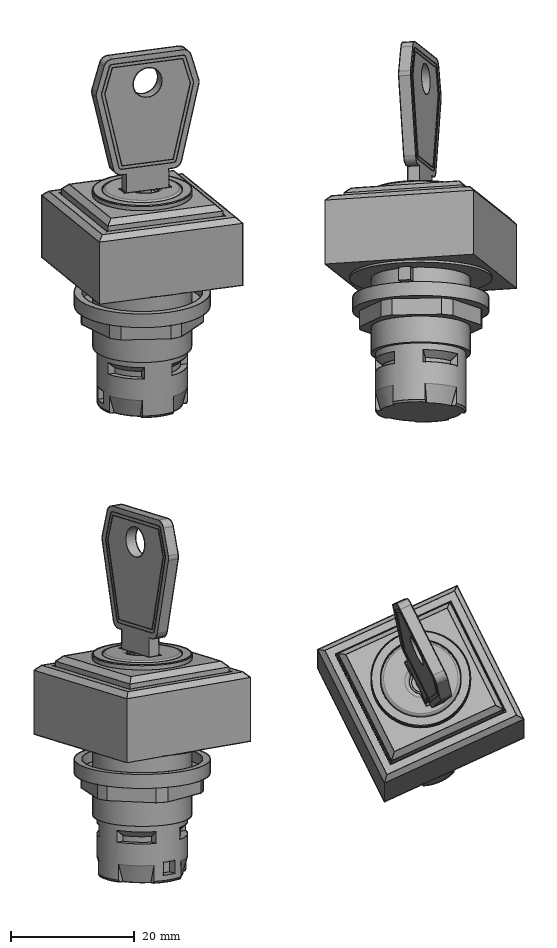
import cadquery as cq
import math


BEZEL_SIDE = 24.95
BEZEL_TOP = 11.88
BEZEL_CHAMFER = 0.88
OPENING_SIDE = 20.65
OPENING_DEPTH = 1.0
BLOCK_SIDE = 20.0
BLOCK_TOP = 13.55
BLOCK_CHAMFER = 0.93

GASKET_DIAMETER = 23.0
GASKET_THICKNESS = 0.4
TAB_REACH = 9.4
TAB_WIDTH = 2.0
TAB_TOP = -0.15
TAB_BOTTOM = -2.35

RING_DIAMETER = 16.15
RING_TOP = 14.4
RING_CHAMFER = 0.15
GAP_OUTER_DIAMETER = 13.05
CAP_DIAMETER = 12.9
CAP_TOP = 14.6
CAP_ROUNDING = 0.45
GAP_DEPTH = 0.6

NECK_DIAMETER = 16.0
NECK_BOTTOM = -12.4
FLANGE_DIAMETER = 22.0
FLANGE_TOP = -3.08
FLANGE_BOTTOM = -5.4
FLANGE_RECESS_DIAMETER = 19.5
FLANGE_RECESS_DEPTH = 1.8
NUT_BOTTOM = -8.1
NUT_ACROSS_FLATS = 18.1
NUT_CORNER_DIAMETER = 19.8
NUT_TURN = 12.0
HEX_SIDES = 6

BARREL_DIAMETER = 14.65
BARREL_BOTTOM = -22.1
BARREL_CHAMFER_HEIGHT = 0.35
BARREL_CHAMFER_WIDTH = 0.2
QUARTERS = 4
WINDOW_EDGE = 2.42
WINDOW_CORE_DIAMETER = 12.4
WINDOW_TOP = -13.5
WINDOW_INNER_TOP = -14.55
WINDOW_BOTTOM = -15.47
NOTCH_EDGE = 2.72
NOTCH_TOP = -19.1
NOTCH_BOTTOM_DIAMETER = 13.05
POCKET_WIDTH = 2.3
POCKET_HEIGHT = 2.15
POCKET_CENTER_Z = -19.8
POCKET_DEPTH = 1.5

KEY_OFFSET = 0.54
KEY_THICKNESS = 2.0
KEY_TOP = 37.7
KEY_WIDEST_Z = 31.9
KEY_BOTTOM = 17.7
KEY_TOP_HALF = 7.25
KEY_WIDEST_HALF = 9.0
KEY_BOTTOM_HALF = 5.65
KEY_ROUNDING = 1.5
KEY_BORDER = 0.95
KEY_GROOVE_WIDTH = 0.56
KEY_GROOVE_DEPTH = 0.1
KEY_HOLE_DIAMETER = 5.0
KEY_HOLE_Z = 32.9
STEM_WIDTH = 7.35
STEM_SINK = 0.1
PIN_DIAMETER = 2.0
KEYWAY_WIDTH = 2.4
KEYWAY_LENGTH = 8.2
KEYWAY_DEPTH = 0.4
DIMPLE_TOP_RADIUS = 2.8
DIMPLE_LIP_RADIUS = 2.05
DIMPLE_FLOOR_RADIUS = 1.7
DIMPLE_LIP_DROP = 0.6
DIMPLE_DEPTH = 0.75


def cylinder(diameter, bottom, top):
    return cq.Workplane("XY").workplane(offset=bottom).circle(diameter / 2).extrude(top - bottom)


def square_block(side, bottom, top):
    return cq.Workplane("XY").workplane(offset=bottom).rect(side, side).extrude(top - bottom)


def tube(outer, inner, bottom, top):
    return cylinder(outer, bottom, top).cut(cylinder(inner, bottom, top))


def make_bezel():
    bezel = square_block(BEZEL_SIDE, GASKET_THICKNESS, BEZEL_TOP)
    bezel = bezel.faces(">Z").chamfer(BEZEL_CHAMFER)
    opening_floor = BEZEL_TOP - OPENING_DEPTH
    bezel = bezel.cut(square_block(OPENING_SIDE, opening_floor, BEZEL_TOP))
    block = square_block(BLOCK_SIDE, opening_floor, BLOCK_TOP)
    block = block.faces(">Z").chamfer(BLOCK_CHAMFER)
    gasket = cylinder(GASKET_DIAMETER, 0, GASKET_THICKNESS)
    return bezel.union(block).union(gasket)


def make_lock_face():
    ring = cylinder(RING_DIAMETER, BLOCK_TOP, RING_TOP).faces(">Z").chamfer(RING_CHAMFER)
    ring = ring.cut(cylinder(GAP_OUTER_DIAMETER, RING_TOP - GAP_DEPTH, RING_TOP))
    cap = cylinder(CAP_DIAMETER, BLOCK_TOP, CAP_TOP).faces(">Z").edges().fillet(CAP_ROUNDING)
    return ring.union(cap)


def make_tab():
    height = TAB_TOP - TAB_BOTTOM
    tab = cq.Workplane("XY").box(TAB_WIDTH, TAB_REACH, height, centered=(True, False, False))
    return tab.translate((0, 0, TAB_BOTTOM))


def make_flange():
    flange = cylinder(FLANGE_DIAMETER, FLANGE_BOTTOM, FLANGE_TOP)
    recess_floor = FLANGE_TOP - FLANGE_RECESS_DEPTH
    return flange.cut(tube(FLANGE_RECESS_DIAMETER, NECK_DIAMETER, recess_floor, FLANGE_TOP))


def make_nut():
    hexagon_diameter = NUT_ACROSS_FLATS / math.cos(math.pi / HEX_SIDES)
    nut = cq.Workplane("XY").workplane(offset=NUT_BOTTOM).polygon(HEX_SIDES, hexagon_diameter)
    nut = nut.extrude(FLANGE_BOTTOM - NUT_BOTTOM).rotate((0, 0, 0), (0, 0, 1), NUT_TURN)
    return nut.intersect(cylinder(NUT_CORNER_DIAMETER, NUT_BOTTOM, FLANGE_BOTTOM))


def quarter_cutter(profile, edge):
    """Revolve an (r, z) profile and keep the part with X and Y beyond edge, in all quarters."""
    revolved = cq.Workplane("XZ").polyline(profile).close().revolve(360, (0, 0, 0), (0, 1, 0))
    height = NECK_BOTTOM - BARREL_BOTTOM
    corner = cq.Workplane("XY").box(BARREL_DIAMETER, BARREL_DIAMETER, height, centered=False)
    corner = corner.translate((edge, edge, BARREL_BOTTOM))
    segment = revolved.intersect(corner)
    cutter = segment
    for quarter in range(1, QUARTERS):
        cutter = cutter.union(segment.rotate((0, 0, 0), (0, 0, 1), quarter * 360 / QUARTERS))
    return cutter


def make_windows():
    """Openings with a cylindrical back wall and a ceiling that falls inwards."""
    outer = BARREL_DIAMETER / 2
    core = WINDOW_CORE_DIAMETER / 2
    profile = [
        (core, WINDOW_BOTTOM),
        (outer, WINDOW_BOTTOM),
        (outer, WINDOW_TOP),
        (core, WINDOW_INNER_TOP),
    ]
    return quarter_cutter(profile, WINDOW_EDGE)


def make_notches():
    """Conical recesses that deepen towards the bottom rim."""
    outer = BARREL_DIAMETER / 2
    profile = [
        (outer, NOTCH_TOP),
        (outer, BARREL_BOTTOM),
        (NOTCH_BOTTOM_DIAMETER / 2, BARREL_BOTTOM),
    ]
    return quarter_cutter(profile, NOTCH_EDGE)


def make_barrel():
    barrel = cylinder(BARREL_DIAMETER, BARREL_BOTTOM, NECK_BOTTOM)
    barrel = barrel.faces("<Z").chamfer(BARREL_CHAMFER_HEIGHT, BARREL_CHAMFER_WIDTH)
    pocket = cq.Workplane("XY").box(POCKET_WIDTH, 2 * POCKET_DEPTH, POCKET_HEIGHT)
    pocket = pocket.translate((0, -BARREL_DIAMETER / 2, POCKET_CENTER_Z))
    return barrel.cut(make_windows()).cut(make_notches()).cut(pocket)


def make_keyway():
    """Slot for the key and the rounded dimple around it."""
    slot = cq.Workplane("XY").workplane(offset=CAP_TOP - KEYWAY_DEPTH)
    slot = slot.rect(KEYWAY_WIDTH, KEYWAY_LENGTH).extrude(KEYWAY_DEPTH)
    lip = DIMPLE_TOP_RADIUS - DIMPLE_LIP_RADIUS
    lip_half_angle = math.atan(DIMPLE_LIP_DROP / lip)
    lip_rounding = lip / math.sin(2 * lip_half_angle)
    lip_middle_radius = DIMPLE_TOP_RADIUS - lip_rounding * math.sin(lip_half_angle)
    lip_middle_drop = lip_rounding * (1 - math.cos(lip_half_angle))
    dimple = (
        cq.Workplane("XZ")
        .moveTo(0, CAP_TOP)
        .lineTo(DIMPLE_TOP_RADIUS, CAP_TOP)
        .threePointArc(
            (lip_middle_radius, CAP_TOP - lip_middle_drop),
            (DIMPLE_LIP_RADIUS, CAP_TOP - DIMPLE_LIP_DROP),
        )
        .lineTo(DIMPLE_FLOOR_RADIUS, CAP_TOP - DIMPLE_DEPTH)
        .lineTo(0, CAP_TOP - DIMPLE_DEPTH)
        .close()
        .revolve(360, (0, 0, 0), (0, 1, 0))
    )
    return slot.union(dimple).translate((0, KEY_OFFSET, 0))


def key_plate(inset, thickness):
    """Six-sided key head with rounded corners, drawn in from its outline by inset."""
    right_side = [
        (KEY_BOTTOM_HALF, KEY_BOTTOM),
        (KEY_WIDEST_HALF, KEY_WIDEST_Z),
        (KEY_TOP_HALF, KEY_TOP),
    ]
    left_side = [(-y, z) for y, z in reversed(right_side)]
    outline = cq.Workplane("YZ").polyline(right_side + left_side).close()
    if inset:
        outline = outline.offset2D(-inset, "intersection")
    plate = outline.extrude(thickness / 2, both=True)
    if inset < KEY_ROUNDING:
        plate = plate.edges("|X").fillet(KEY_ROUNDING - inset)
    return plate


def make_key():
    """Key head and stem, held over the keyway by a round pin standing on the dimple floor."""
    head = key_plate(0, KEY_THICKNESS)
    groove = key_plate(KEY_BORDER, KEY_THICKNESS)
    groove = groove.cut(key_plate(KEY_BORDER + KEY_GROOVE_WIDTH, KEY_THICKNESS))
    groove_core = KEY_THICKNESS - 2 * KEY_GROOVE_DEPTH
    groove = groove.cut(key_plate(0, groove_core))
    hole = cq.Workplane("YZ").center(0, KEY_HOLE_Z).circle(KEY_HOLE_DIAMETER / 2)
    hole = hole.extrude(KEY_THICKNESS, both=True)
    stem_bottom = CAP_TOP - STEM_SINK
    stem = cq.Workplane("XY").workplane(offset=stem_bottom).rect(KEY_THICKNESS, STEM_WIDTH)
    stem = stem.extrude(KEY_BOTTOM - stem_bottom)
    pin = cylinder(PIN_DIAMETER, CAP_TOP - DIMPLE_DEPTH, stem_bottom)
    key = head.cut(groove).cut(hole).union(stem).union(pin)
    return key.translate((0, KEY_OFFSET, 0))


switch = make_bezel().union(make_lock_face()).cut(make_keyway())
switch = switch.union(cylinder(NECK_DIAMETER, NECK_BOTTOM, 0)).union(make_tab()).union(make_flange())
switch = switch.union(make_nut()).union(make_barrel())
result = switch.union(make_key())